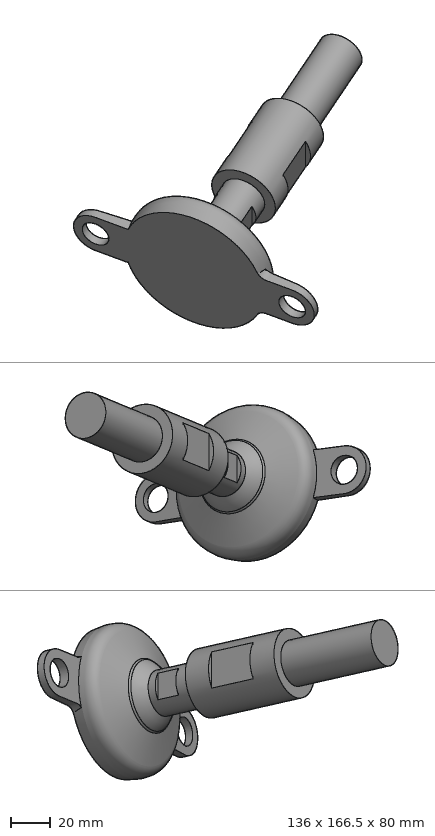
import cadquery as cq
import math

total_length = 166.5

rod_radius = 12.0
sleeve_radius = 18.0
sleeve_bottom = 56.3
sleeve_top = 110.9
sleeve_flat_bottom = 70.6
sleeve_flat_top = 96.0
sleeve_flat_offset = 15.2
rod_flat_bottom = 33.6
rod_flat_top = 46.3
rod_flat_offset = 9.7

ball_radius = 22.8
ball_center_height = 9.8
ball_top = ball_center_height + math.sqrt(ball_radius**2 - rod_radius**2)

sole_radius = 39.1
rim_radius = 40.0
rim_height = 6.3
shoulder_radius = 39.8
shoulder_height = 9.0
shoulder_fillet = 7.2
cone_slope = math.radians(22)
mouth_radius = 19.3
lip_top = 23.1
lip_radius = math.sqrt(ball_radius**2 - (lip_top - ball_center_height) ** 2)

ear_half_width = 12.5
ear_length = 136.0 / 2
ear_hole_x = ear_length - ear_half_width
ear_hole_radius = 7.5
ear_tip_thickness = 4.2
ear_root_thickness = 5.8
ear_root_fillet = 5.8


def cylinder(radius, bottom, top, x=0.0):
    """Cylinder along Y between two heights, centred at the given X."""
    return cq.Workplane("XZ", origin=(x, bottom, 0)).circle(radius).extrude(bottom - top)


def ball_segment():
    """Upper part of the ball, from its centre plane up to the rod."""
    middle_angle = (math.pi / 2 + math.asin(rod_radius / ball_radius)) / 2
    middle = (
        ball_radius * math.sin(middle_angle),
        ball_center_height + ball_radius * math.cos(middle_angle),
    )
    return (
        cq.Workplane("XY")
        .moveTo(0, ball_center_height)
        .lineTo(ball_radius, ball_center_height)
        .threePointArc(middle, (rod_radius, ball_top))
        .lineTo(0, ball_top)
        .close()
        .revolve(360, (0, 0, 0), (0, 1, 0))
    )


def cut_wrench_flats(body, radius, offset, bottom, top):
    """Cut two opposite flats, facing -X and +X, at the given offset from the axis."""
    for side in (-1, 1):
        cutter = cq.Workplane("XY").box(radius, top - bottom, 2 * radius)
        cutter = cutter.translate((side * (offset + radius / 2), (bottom + top) / 2, 0))
        body = body.cut(cutter)
    return body


def make_spindle():
    """Ball-ended rod with a thicker sleeve section and two pairs of wrench flats."""
    rod = cylinder(rod_radius, ball_top, total_length)
    sleeve = cylinder(sleeve_radius, sleeve_bottom, sleeve_top)
    body = rod.union(sleeve)
    body = cut_wrench_flats(body, rod_radius, rod_flat_offset, rod_flat_bottom, rod_flat_top)
    body = cut_wrench_flats(
        body, sleeve_radius, sleeve_flat_offset, sleeve_flat_bottom, sleeve_flat_top
    )
    return body.union(ball_segment())


def foot_disc():
    """Round foot: drafted rim, rounded shoulder, cone and a short lip around the ball."""
    arc_center_radius = shoulder_radius - shoulder_fillet

    def shoulder_point(angle):
        return (
            arc_center_radius + shoulder_fillet * math.cos(angle),
            shoulder_height + shoulder_fillet * math.sin(angle),
        )

    arc_end_angle = math.pi / 2 - cone_slope
    arc_end = shoulder_point(arc_end_angle)
    mouth_height = arc_end[1] + (arc_end[0] - mouth_radius) * math.tan(cone_slope)
    return (
        cq.Workplane("XY")
        .moveTo(0, 0)
        .lineTo(sole_radius, 0)
        .lineTo(rim_radius, rim_height)
        .lineTo(shoulder_radius, shoulder_height)
        .threePointArc(shoulder_point(arc_end_angle / 2), arc_end)
        .lineTo(mouth_radius, mouth_height)
        .lineTo(lip_radius, lip_top)
        .lineTo(0, lip_top)
        .close()
        .revolve(360, (0, 0, 0), (0, 1, 0))
    )


def ear_side_profile():
    """Both ears as a wedge-topped strip, thinner towards the tips."""
    return (
        cq.Workplane("XY")
        .moveTo(-ear_length, 0)
        .lineTo(ear_length, 0)
        .lineTo(ear_length, ear_tip_thickness)
        .lineTo(rim_radius, ear_root_thickness)
        .lineTo(-rim_radius, ear_root_thickness)
        .lineTo(-ear_length, ear_tip_thickness)
        .close()
        .extrude(rim_radius, both=True)
    )


def ear_root_web():
    """Plan of the +X ear root, with a concave arc blending each ear side into the sole edge."""
    arc_z = ear_half_width + ear_root_fillet
    center_distance = sole_radius + ear_root_fillet
    arc_x = math.sqrt(center_distance**2 - arc_z**2)
    touch_x = arc_x * sole_radius / center_distance
    touch_z = arc_z * sole_radius / center_distance
    to_disc_angle = math.atan2(-arc_z, -arc_x)
    middle_angle = (to_disc_angle - math.pi / 2) / 2
    middle_x = arc_x + ear_root_fillet * math.cos(middle_angle)
    middle_z = arc_z + ear_root_fillet * math.sin(middle_angle)
    return (
        cq.Workplane("XZ")
        .moveTo(0, -touch_z)
        .lineTo(touch_x, -touch_z)
        .threePointArc((middle_x, -middle_z), (arc_x, -ear_half_width))
        .lineTo(arc_x, ear_half_width)
        .threePointArc((middle_x, middle_z), (touch_x, touch_z))
        .lineTo(0, touch_z)
        .close()
        .extrude(-ear_root_thickness)
    )


def make_foot():
    """Foot disc with two drilled ears and a socket that fits the ball."""
    strip = cq.Workplane("XZ").slot2D(2 * ear_length, 2 * ear_half_width).extrude(-ear_root_thickness)
    ears = strip.union(ear_root_web()).intersect(ear_side_profile())
    for side in (-1, 1):
        ears = ears.cut(cylinder(ear_hole_radius, 0, ear_root_thickness, side * ear_hole_x))
    return foot_disc().union(ears).cut(ball_segment())


spindle = make_spindle()
foot = make_foot()
result = cq.Compound.makeCompound([spindle.solids().val(), foot.solids().val()])